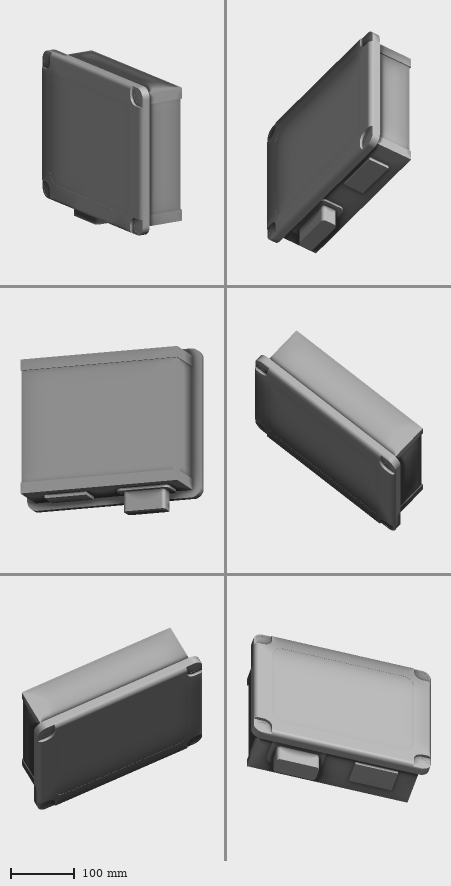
import cadquery as cq

lid_width = 291.0
lid_height = 241.2
total_depth = 87.5

lid_thickness = 17.8
lid_corner_radius = 17.0
lid_edge_radius = 7.5

seat_size = 29.0
seat_radius = 14.5
seat_depth = 4.7
screw_offset = 14.5
screw_radius = 10.2

panel_margin = 29.7
panel_side_margin = 29.0
panel_radius = 19.0
imprint_depth = 0.3

body_side_inset = 14.3
body_end_inset = 12.2
body_end_band = 17.8
body_rear_recess = 2.0
body_waist_recess = 1.5

connector_center_x = -64.0
connector_width = 69.8
connector_depth = 26.8
connector_radius = 5.8
connector_drop = 23.5
connector_center_y = 44.0
flange_overhang = 9.0
flange_thickness = 4.0

pad_thickness = 5.5

body_width = lid_width - 2 * body_side_inset
body_height = lid_height - 2 * body_end_inset
body_bottom = -body_height / 2
flange_width = connector_width + 2 * flange_overhang
flange_depth = connector_depth + 2 * flange_overhang


def box(width, depth, height, x, y, z):
    """Box centred on X and Z, starting at y and running toward +Y."""
    return cq.Workplane("XY").box(width, depth, height, centered=(True, False, True)).translate((x, y, z))


def rounded_post(width, depth, radius, bottom, top):
    """Upright rounded block at the connector position."""
    return (
        cq.Workplane("XY", origin=(connector_center_x, connector_center_y, bottom))
        .rect(width, depth)
        .extrude(top - bottom)
        .edges("|Z")
        .fillet(radius)
    )


def make_lid():
    lid = box(lid_width, lid_thickness, lid_height, 0, 0, 0)
    lid = lid.faces("<Y").edges().fillet(lid_edge_radius)

    outline = box(lid_width, lid_thickness, lid_height, 0, 0, 0)
    lid = lid.intersect(outline.edges("|Y").fillet(lid_corner_radius))

    panel_width = lid_width - 2 * panel_side_margin
    panel_height = lid_height - 2 * panel_margin
    panel = box(panel_width, imprint_depth, panel_height, 0, 0, 0)
    lid = lid.cut(panel.edges("|Y").fillet(panel_radius))

    for side_x in (-1, 1):
        for side_z in (-1, 1):
            lid = lid.cut(make_screw_seat(side_x, side_z))
    return lid


def make_screw_seat(side_x, side_z):
    """Cutter for one lid corner: a square seat rounded on its inner corner, with the screw outline."""
    corner_x = side_x * lid_width / 2
    corner_z = side_z * lid_height / 2
    seat = box(
        seat_size,
        seat_depth,
        seat_size,
        corner_x - side_x * seat_size / 2,
        0,
        corner_z - side_z * seat_size / 2,
    )
    inner_side = ("<" if side_x > 0 else ">") + "X"
    inner_end = ("<" if side_z > 0 else ">") + "Z"
    seat = seat.faces(inner_side).edges(inner_end).fillet(seat_radius)

    screw_x = corner_x - side_x * screw_offset
    screw_z = corner_z - side_z * screw_offset
    screw = (
        cq.Workplane("XZ", origin=(screw_x, 0, screw_z))
        .circle(screw_radius)
        .extrude(-(seat_depth + imprint_depth))
    )
    return seat.union(screw)


def make_body():
    """Box with a slightly narrower waist between full-size bands at the top and bottom."""
    band_depth = total_depth - lid_thickness
    waist_depth = band_depth - body_rear_recess
    waist_width = body_width - 2 * body_waist_recess
    body = box(waist_width, waist_depth, body_height, 0, lid_thickness, 0)
    for side_z in (-1, 1):
        band_z = side_z * (body_height - body_end_band) / 2
        body = body.union(box(body_width, band_depth, body_end_band, 0, lid_thickness, band_z))
    return body


def make_connector():
    flange = rounded_post(
        flange_width, flange_depth, flange_overhang, body_bottom - flange_thickness, body_bottom
    )
    plug_bottom = -lid_height / 2 - connector_drop
    plug = rounded_post(connector_width, connector_depth, connector_radius, plug_bottom, body_bottom)
    return flange.union(plug)


def make_pad():
    """Plain pad on the opposite side of the body from the connector, flush with the flange's rear edge."""
    pad_front = connector_center_y - connector_depth / 2
    pad_rear = connector_center_y + flange_depth / 2
    pad_z = body_bottom - pad_thickness / 2
    return box(connector_width, pad_rear - pad_front, pad_thickness, -connector_center_x, pad_front, pad_z)


result = make_lid().union(make_body()).union(make_connector()).union(make_pad())